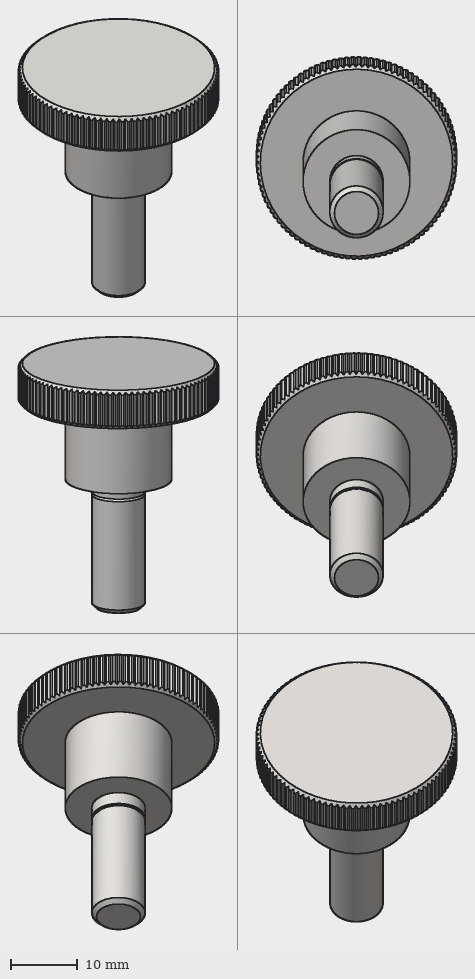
import cadquery as cq
import math

head_radius = 15.0
head_height = 6.0
head_chamfer = 0.6

groove_count = 100
groove_depth = 0.3
groove_flank_angle = math.radians(45)
ring_thickness = 1.0

hub_radius = 8.0
hub_height = 12.0

stud_radius = 4.0
stud_length = 20.0
collar_length = 2.0
neck_groove_depth = 0.4
tip_chamfer = 0.7

head_bottom = hub_height
head_top = head_bottom + head_height
stud_tip = -stud_length
collar_end = -collar_length


def turned_body():
    """Revolve the half profile of tip, stud, collar, hub and head about Z."""
    neck_radius = stud_radius - neck_groove_depth
    head_face_radius = head_radius - head_chamfer
    profile = [
        (0, stud_tip),
        (stud_radius - tip_chamfer, stud_tip),
        (stud_radius, stud_tip + tip_chamfer),
        (stud_radius, collar_end - neck_groove_depth),
        (neck_radius, collar_end),
        (stud_radius, collar_end),
        (stud_radius, 0),
        (hub_radius, 0),
        (hub_radius, head_bottom),
        (head_face_radius, head_bottom),
        (head_radius, head_bottom + head_chamfer),
        (head_radius, head_top - head_chamfer),
        (head_face_radius, head_top),
        (0, head_top),
    ]
    axis_start = (0, 0)
    axis_end = (0, 1)
    return cq.Workplane("XZ").polyline(profile).close().revolve(360, axis_start, axis_end)


def knurl_ring():
    """Cutter around the rim: a ring whose inner outline is the grooved edge of the head."""
    root_radius = head_radius - groove_depth
    half_width = groove_depth * math.tan(groove_flank_angle)
    half_angle = math.asin(half_width / head_radius)
    pitch_angle = 2 * math.pi / groove_count

    def polar(radius, angle):
        return (radius * math.cos(angle), radius * math.sin(angle))

    outline = cq.Workplane("XY").workplane(offset=head_bottom)
    outline = outline.moveTo(*polar(head_radius, -half_angle))
    for index in range(groove_count):
        angle = index * pitch_angle
        next_angle = angle + pitch_angle
        outline = outline.lineTo(*polar(root_radius, angle))
        outline = outline.lineTo(*polar(head_radius, angle + half_angle))
        outline = outline.threePointArc(
            polar(head_radius, angle + pitch_angle / 2),
            polar(head_radius, next_angle - half_angle),
        )
    toothed_disc = outline.close().extrude(head_height)

    outer_radius = head_radius + ring_thickness
    blank = cq.Workplane("XY").workplane(offset=head_bottom)
    blank = blank.circle(outer_radius).extrude(head_height)
    return blank.cut(toothed_disc)


result = turned_body().cut(knurl_ring())